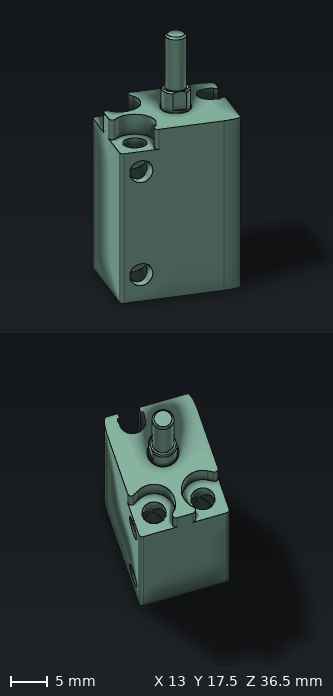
import cadquery as cq
import math

WIDTH = 13.0
DEPTH = 17.5
HEIGHT = 25.5
HALF_WIDTH = WIDTH / 2
FRONT_CORNER_RADIUS = 0.5
BACK_CORNER_RADIUS = 0.5
FLANK_CURVE_START = 14.85
FLANK_CURVE_RADIUS = 8.75

HOLE_DIAMETER = 3.3
HOLE_X = 3.5
HOLE_Y = 3.0
CROSS_HOLE_HEIGHTS = (4.0, 19.5)
POCKET_RADIUS = 2.92
POCKET_DEPTH = 3.0
POCKET_BLEND_RADIUS = 0.5
POCKET_RAMP_ANGLE = math.radians(30)

SLOT_X = -2.6
SLOT_RADIUS = 1.8
SLOT_BOTTOM_Y = 13.9
SLOT_LEDGE_Y = 16.7
SLOT_LEDGE_HALF_WIDTH = 1.9
SLOT_LEDGE_FILLET = 0.22
SLOT_NECK_WIDTH = 3.0
SLOT_LIP_RADIUS = 0.2

ROD_Y = 10.0
ROD_TOP = 36.5
ROD_DIAMETER = 3.0
ROD_TIP_DIAMETER = 2.45
ROD_TIP_CHAMFER_HEIGHT = 0.3
COLLAR_DIAMETER = 4.0
COLLAR_HEIGHT = 3.0
COLLAR_CHAMFER = 0.22
COLLAR_INSERTION = COLLAR_HEIGHT
FLAT_WIDTH = 3.5
FLAT_START_HEIGHT = 0.3
BORE_CHAMFER = 0.2


def make_block():
    """Rectangular block whose flanks curve inward toward the back face."""
    curve_length = DEPTH - FLANK_CURVE_START

    def flank_x(distance):
        inset = FLANK_CURVE_RADIUS - math.sqrt(FLANK_CURVE_RADIUS**2 - distance**2)
        return HALF_WIDTH - inset

    middle_x = flank_x(curve_length / 2)
    middle_y = FLANK_CURVE_START + curve_length / 2
    back_x = flank_x(curve_length)
    block = (
        cq.Workplane("XY")
        .moveTo(-HALF_WIDTH, 0)
        .lineTo(HALF_WIDTH, 0)
        .lineTo(HALF_WIDTH, FLANK_CURVE_START)
        .threePointArc((middle_x, middle_y), (back_x, DEPTH))
        .lineTo(-back_x, DEPTH)
        .threePointArc((-middle_x, middle_y), (-HALF_WIDTH, FLANK_CURVE_START))
        .close()
        .extrude(HEIGHT)
    )
    block = block.edges("|Z and <Y").fillet(FRONT_CORNER_RADIUS)
    return block.faces(">Y").edges("|Z").fillet(BACK_CORNER_RADIUS)


def make_corner_pocket():
    """Cutter for the right front corner: an arc round the hole, blended into both outer faces."""
    def around(center, radius, angle):
        return (center[0] + radius * math.cos(angle), center[1] + radius * math.sin(angle))

    hole = (HOLE_X, HOLE_Y)
    blend = POCKET_BLEND_RADIUS

    reach = math.sqrt((POCKET_RADIUS + blend) ** 2 - (HOLE_Y - blend) ** 2)
    front_center = (HOLE_X - reach, blend)
    front_angle = math.atan2(HOLE_Y - blend, reach)
    arc_start = around(front_center, blend, front_angle)
    front_middle = around(front_center, blend, (front_angle - math.pi / 2) / 2)

    ramp_normal = math.pi / 2 - POCKET_RAMP_ANGLE
    arc_end = around(hole, POCKET_RADIUS, ramp_normal)
    arc_middle = around(hole, POCKET_RADIUS, (front_angle + math.pi + ramp_normal) / 2)
    side_x = HALF_WIDTH - blend
    ramp_end_x = side_x - blend * math.sin(POCKET_RAMP_ANGLE)
    ramp_end_y = arc_end[1] - (ramp_end_x - arc_end[0]) * math.tan(POCKET_RAMP_ANGLE)
    side_center = (side_x, ramp_end_y + blend * math.cos(POCKET_RAMP_ANGLE))
    side_middle = around(side_center, blend, -(math.pi / 2 + POCKET_RAMP_ANGLE) / 2)

    return (
        cq.Workplane("XY", origin=(0, 0, HEIGHT - POCKET_DEPTH))
        .moveTo(front_center[0], 0)
        .threePointArc(front_middle, arc_start)
        .threePointArc(arc_middle, arc_end)
        .lineTo(ramp_end_x, ramp_end_y)
        .threePointArc(side_middle, (HALF_WIDTH, side_center[1]))
        .lineTo(HALF_WIDTH, 0)
        .close()
        .extrude(POCKET_DEPTH)
    )


def make_sensor_slot():
    """Cutter for the round-bottomed, slightly flared slot with a narrower mouth in the back face."""
    center_y = SLOT_BOTTOM_Y + SLOT_RADIUS
    channel = (
        cq.Workplane("XY")
        .moveTo(SLOT_X - SLOT_LEDGE_HALF_WIDTH, SLOT_LEDGE_Y)
        .lineTo(SLOT_X - SLOT_RADIUS, center_y)
        .threePointArc((SLOT_X, SLOT_BOTTOM_Y), (SLOT_X + SLOT_RADIUS, center_y))
        .lineTo(SLOT_X + SLOT_LEDGE_HALF_WIDTH, SLOT_LEDGE_Y)
        .close()
        .extrude(HEIGHT)
        .faces(">Y")
        .edges("|Z")
        .fillet(SLOT_LEDGE_FILLET)
    )
    neck = (
        cq.Workplane("XY")
        .moveTo(SLOT_X, (center_y + DEPTH) / 2)
        .rect(SLOT_NECK_WIDTH, DEPTH - center_y)
        .extrude(HEIGHT)
    )
    return channel.union(neck)


def make_rod_bore():
    """Cutter for the blind bore that holds the collar, with a chamfered mouth."""
    radius = COLLAR_DIAMETER / 2
    return (
        cq.Workplane("XZ", origin=(0, ROD_Y, HEIGHT))
        .moveTo(0, 0)
        .lineTo(radius + BORE_CHAMFER, 0)
        .lineTo(radius, -BORE_CHAMFER)
        .lineTo(radius, -COLLAR_INSERTION)
        .lineTo(0, -COLLAR_INSERTION)
        .close()
        .revolve(360, (0, 0, 0), (0, 1, 0))
    )


def make_housing():
    body = make_block().cut(make_sensor_slot())
    lip_edge = cq.selectors.NearestToPointSelector((SLOT_X - SLOT_NECK_WIDTH / 2, DEPTH, HEIGHT / 2))
    body = body.edges(lip_edge).fillet(SLOT_LIP_RADIUS)

    pocket = make_corner_pocket()
    body = body.cut(pocket).cut(pocket.mirror("YZ"))

    vertical_holes = (
        cq.Workplane("XY")
        .pushPoints([(-HOLE_X, HOLE_Y), (HOLE_X, HOLE_Y)])
        .circle(HOLE_DIAMETER / 2)
        .extrude(HEIGHT)
    )
    cross_holes = (
        cq.Workplane("YZ", origin=(-HALF_WIDTH, 0, 0))
        .pushPoints([(HOLE_Y, height) for height in CROSS_HOLE_HEIGHTS])
        .circle(HOLE_DIAMETER / 2)
        .extrude(WIDTH)
    )
    return body.cut(vertical_holes).cut(cross_holes).cut(make_rod_bore())


def make_rod():
    """Stepped rod whose collar has two opposite wrench flats."""
    collar_radius = COLLAR_DIAMETER / 2
    length = ROD_TOP - HEIGHT
    rod = (
        cq.Workplane("XZ", origin=(0, ROD_Y, HEIGHT))
        .moveTo(0, -COLLAR_INSERTION)
        .lineTo(collar_radius, -COLLAR_INSERTION)
        .lineTo(collar_radius, COLLAR_HEIGHT - COLLAR_CHAMFER)
        .lineTo(collar_radius - COLLAR_CHAMFER, COLLAR_HEIGHT)
        .lineTo(ROD_DIAMETER / 2, COLLAR_HEIGHT)
        .lineTo(ROD_DIAMETER / 2, length - ROD_TIP_CHAMFER_HEIGHT)
        .lineTo(ROD_TIP_DIAMETER / 2, length)
        .lineTo(0, length)
        .close()
        .revolve(360, (0, 0, 0), (0, 1, 0))
    )
    flat_center_x = (FLAT_WIDTH + COLLAR_DIAMETER) / 2
    flat_cutters = (
        cq.Workplane("XY", origin=(0, ROD_Y, HEIGHT + FLAT_START_HEIGHT))
        .pushPoints([(-flat_center_x, 0), (flat_center_x, 0)])
        .rect(COLLAR_DIAMETER, COLLAR_DIAMETER)
        .extrude(COLLAR_HEIGHT - FLAT_START_HEIGHT)
    )
    return rod.cut(flat_cutters)


housing = make_housing()
rod = make_rod()
result = cq.Compound.makeCompound([housing.val(), rod.val()])